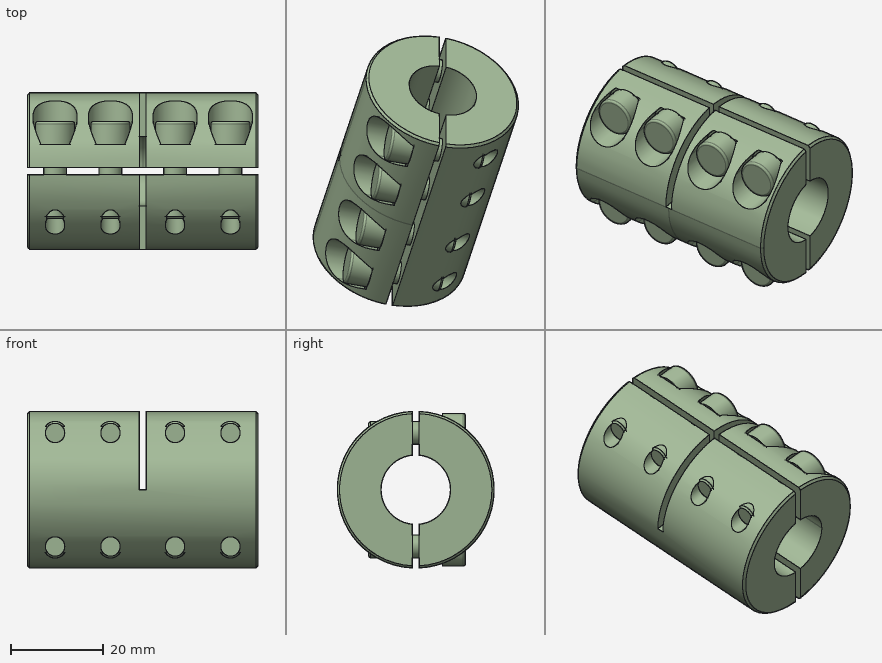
import cadquery as cq


length = 50
outer_dia = 34
bore_dia = 15
rim_chamfer = 0.5
split_gap = 1.5
slit_width = 1.5

screw_dia = 5
tap_drill_dia = 4.2
head_dia = 8.5
head_height = 5
head_fillet = 0.5
shank_length = 16
tip_chamfer = (screw_dia - tap_drill_dia) / 2
seat_y = 5.75
pocket_dia = 9.6

inner_screw_x = 7
outer_screw_x = 19
screw_z = 12.3

outer_radius = outer_dia / 2
screw_places = [
    (x, z)
    for z in (screw_z, -screw_z)
    for x in (-outer_screw_x, -inner_screw_x, inner_screw_x, outer_screw_x)
]


def rod_along_y(dia, y_start, y_end, x, z):
    """Round rod parallel to Y between two Y positions, with y_end above y_start."""
    return (
        cq.Workplane("XZ", origin=(x, y_start, z))
        .circle(dia / 2)
        .extrude(y_start - y_end)
    )


def make_screw(x, z):
    """Cap screw with its head towards +Y and a chamfered tip towards -Y."""
    head = rod_along_y(head_dia, seat_y, seat_y + head_height, x, z)
    head = head.faces(">Y").edges().fillet(head_fillet)
    shank = rod_along_y(screw_dia, seat_y - shank_length, seat_y, x, z)
    shank = shank.faces("<Y").edges().chamfer(tip_chamfer)
    return head.union(shank)


def make_half(side):
    """Plain half sleeve with the mid-length slit; side is +1 for +Y, -1 for -Y."""
    sleeve = (
        cq.Workplane("YZ")
        .circle(outer_radius)
        .extrude(length / 2, both=True)
        .edges()
        .chamfer(rim_chamfer)
    )
    bore = cq.Workplane("YZ").circle(bore_dia / 2).extrude(length / 2, both=True)
    slit = cq.Workplane("XY").rect(slit_width, outer_dia).extrude(outer_radius)
    keep = (
        cq.Workplane("XY")
        .center(0, side * (split_gap / 2 + outer_radius) / 2)
        .box(length, outer_radius - split_gap / 2, outer_dia)
    )
    return sleeve.cut(bore).cut(slit).intersect(keep)


screws = [make_screw(x, z) for x, z in screw_places]

head_half = make_half(1)
for x, z in screw_places:
    head_half = head_half.cut(rod_along_y(pocket_dia, seat_y, outer_radius, x, z))
    head_half = head_half.cut(rod_along_y(screw_dia, 0, seat_y, x, z))

tip_half = make_half(-1)
for (x, z), screw in zip(screw_places, screws):
    tip_half = tip_half.cut(rod_along_y(tap_drill_dia, -outer_radius, 0, x, z))
    tip_half = tip_half.cut(screw)

result = cq.Compound.makeCompound(
    [head_half.val(), tip_half.val(), *[screw.val() for screw in screws]]
)